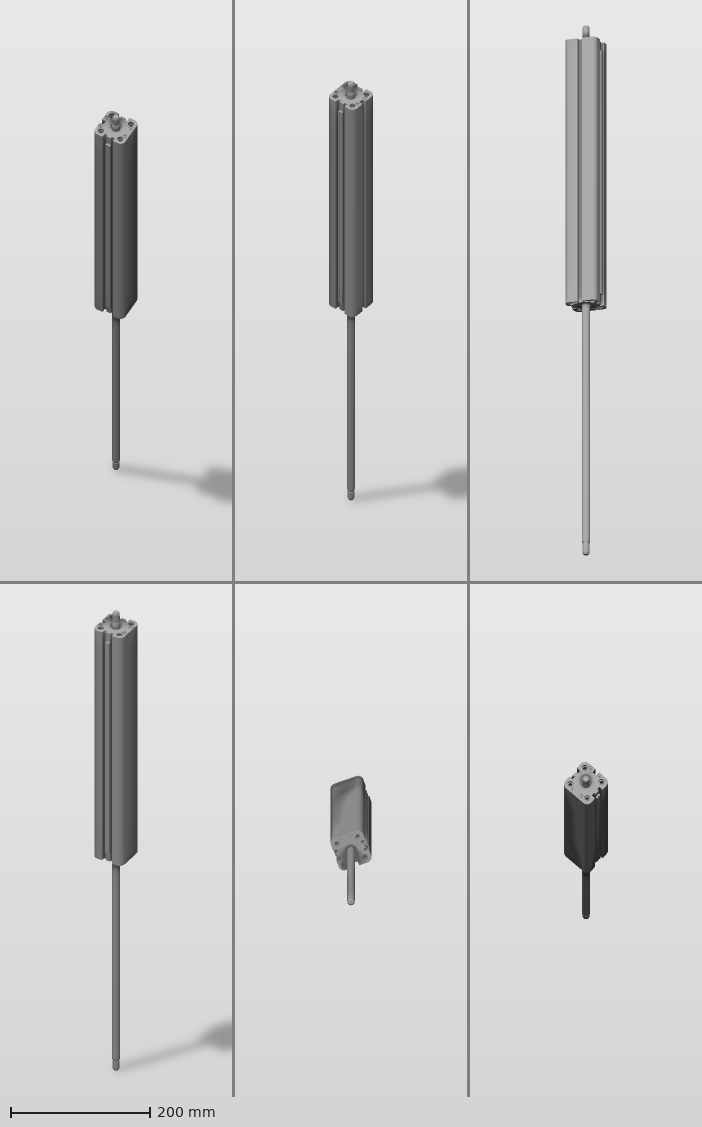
import cadquery as cq

total_length = 795.0
side = 49.0
corner_radius = 8.0
cap_height = 15.0
housing_bottom = 374.5
housing_top = 770.0

rib_half_width = 3.6
slot_width = 5.0
slot_floor = 18.0
mark_width = 2.0
mark_depth = 1.0

recess_diameter = 35.0
recess_depth = 1.0
collar_diameter = 17.0
collar_depth = 1.5
screw_offset = 16.0
screw_head_diameter = 9.0
screw_head_depth = 5.0
screw_hole_diameter = 5.2
spot_offset_x = 20.0
spot_offset_y = 9.0
spot_diameter = 7.5
spot_depth = 1.5
spot_hole_diameter = 2.5
spot_hole_depth = 5.0
rib_reach = 21.5

rod_diameter = 12.0
thread_diameter = 10.0
tip_diameter = 7.5
tip_length = 3.0
thread_length = 16.0
neck_diameter = 9.0
neck_length = 1.5
shoulder_inset = 1.0
shoulder_length = 3.0
flat_width = 11.0
flat_end = 25.0

half_side = side / 2
barrel_bottom = housing_bottom + cap_height
barrel_height = housing_top - cap_height - barrel_bottom


def slotted_block(height):
    """Rounded square block standing on z = 0 with its lengthwise slots cut through."""
    block = cq.Workplane("XY").box(side, side, height, centered=(True, True, False))
    block = block.edges("|Z").fillet(corner_radius)
    depth = half_side - slot_floor
    slot_middle = rib_half_width + slot_width / 2
    pair = (
        cq.Workplane("XY")
        .rarray(2 * slot_middle, half_side + slot_floor, 2, 2)
        .rect(slot_width, depth)
        .extrude(height)
    )
    single = (
        cq.Workplane("XY")
        .center(-(half_side + slot_floor) / 2, 0)
        .rect(depth, 2 * rib_half_width)
        .extrude(height)
    )
    return block.cut(pair).cut(single)


def make_barrel():
    """Slotted barrel with a shallow mark groove along the middle of its -Y and +Y ribs."""
    barrel = slotted_block(barrel_height)
    marks = (
        cq.Workplane("XY")
        .rarray(8, side - mark_depth, 1, 2)
        .rect(mark_width, mark_depth)
        .extrude(barrel_height)
    )
    bore = cq.Workplane("XY").circle(rod_diameter / 2).extrude(barrel_height)
    return barrel.cut(marks).cut(bore).translate((0, 0, barrel_bottom))


def round_recess(diameter, top, depth):
    """Cutter for a round recess on the cylinder axis, reaching down from the height `top`."""
    return cq.Workplane("XY").workplane(offset=top - depth).circle(diameter / 2).extrude(depth)


def make_cap():
    """End cap with its inner face on z = 0 and its outer face at cap_height."""
    cap = slotted_block(cap_height)
    rib_trim = (
        cq.Workplane("XY")
        .rarray(8, half_side + rib_reach, 1, 2)
        .rect(2 * rib_half_width, half_side - rib_reach)
        .extrude(cap_height)
    )
    cap = (
        cap.cut(rib_trim)
        .cut(round_recess(rod_diameter, cap_height, cap_height))
        .cut(round_recess(recess_diameter, cap_height, recess_depth))
        .cut(round_recess(collar_diameter, cap_height - recess_depth, collar_depth))
    )
    outer_face = cap.faces(">Z").workplane(origin=(0, 0, cap_height))
    cap = outer_face.rarray(2 * screw_offset, 2 * screw_offset, 2, 2).cboreHole(
        screw_hole_diameter, screw_head_diameter, screw_head_depth
    )
    outer_face = cap.faces(">Z").workplane(origin=(0, 0, cap_height))
    return outer_face.rarray(2 * spot_offset_x, 2 * spot_offset_y, 2, 2).cboreHole(
        spot_hole_diameter, spot_diameter, spot_depth, spot_hole_depth
    )


def rod_end_outline():
    """Radius and distance from the tip of each corner along one rod end."""
    return [
        (tip_diameter / 2, 0),
        (thread_diameter / 2, tip_length),
        (thread_diameter / 2, thread_length),
        (neck_diameter / 2, thread_length),
        (neck_diameter / 2, thread_length + neck_length),
        (rod_diameter / 2 - shoulder_inset, thread_length + neck_length),
        (rod_diameter / 2, thread_length + neck_length + shoulder_length),
    ]


def make_rod():
    """Through rod with a stud at each end and a pair of wrench flats behind each stud."""
    lower = rod_end_outline()
    upper = [(radius, total_length - z) for radius, z in reversed(lower)]
    half_section = [(0, 0), *lower, *upper, (0, total_length)]
    rod = cq.Workplane("XZ").polyline(half_section).close().revolve(360, (0, 0, 0), (0, 1, 0))
    flat_start = thread_length + neck_length
    flat_length = flat_end - flat_start
    for z in (flat_start, total_length - flat_end):
        flats = (
            cq.Workplane("XY").workplane(offset=z)
            .rarray(flat_width + rod_diameter, 8, 2, 1)
            .rect(rod_diameter, rod_diameter)
            .extrude(flat_length)
        )
        rod = rod.cut(flats)
    return rod


barrel = make_barrel()
upper_cap = make_cap().translate((0, 0, barrel_bottom + barrel_height))
lower_cap = make_cap().mirror("XY").translate((0, 0, barrel_bottom))
rod = make_rod()

bodies = [barrel, upper_cap, lower_cap, rod]
result = cq.Compound.makeCompound([body.solids().val() for body in bodies])